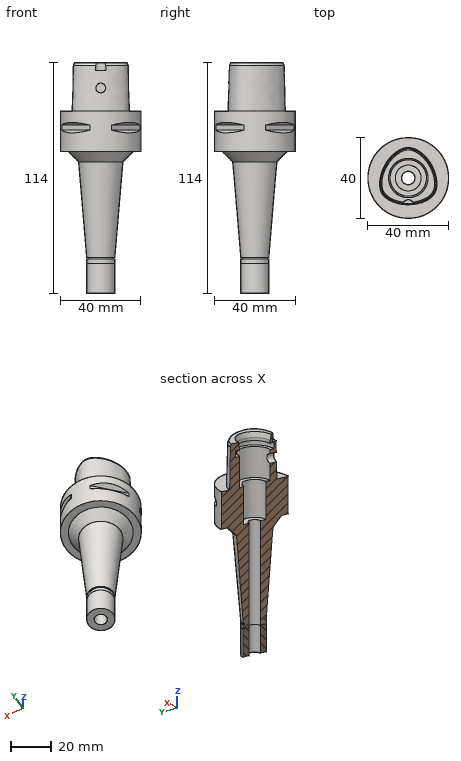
import cadquery as cq
import math

SHANK_HEIGHT = 24.0
FLANGE_RADIUS = 20.0
FLANGE_HEIGHT = 20.0
CONE_TOP_RADIUS = 16.0
CONE_HEIGHT = 5.0
NECK_TOP_RADIUS = CONE_TOP_RADIUS - CONE_HEIGHT
TIP_RADIUS = 7.0
TIP_LENGTH = 14.7
COLLAR_HEIGHT = 2.4
NECK_GROOVE_HEIGHT = 0.6
NECK_GROOVE_RADIUS = 6.3
TOTAL_LENGTH = 114.0

BOTTOM_Z = SHANK_HEIGHT - TOTAL_LENGTH
TIP_TOP_Z = BOTTOM_Z + TIP_LENGTH
COLLAR_TOP_Z = TIP_TOP_Z + COLLAR_HEIGHT
NECK_BOTTOM_Z = COLLAR_TOP_Z + NECK_GROOVE_HEIGHT
CONE_BOTTOM_Z = -FLANGE_HEIGHT - CONE_HEIGHT

SHANK_BASE_DIAMETER = 28.35
TAPER = 1 / 20
ECCENTRICITY = 0.93
OUTLINE_SPANS = 36
TOP_CHAMFER_HEIGHT = 1.4
TOP_CHAMFER_WIDTH = 0.6

MOUTH_RADIUS = 9.75
BORE_RADIUS = 9.0
MOUTH_DEPTH = 2.9
CLAMP_GROOVE_RADIUS = 11.2
CLAMP_GROOVE_TOP_DEPTH = 4.5
CLAMP_GROOVE_BOTTOM_DEPTH = 7.6
CLAMP_GROOVE_TOP_Z = SHANK_HEIGHT - CLAMP_GROOVE_TOP_DEPTH
CLAMP_GROOVE_BOTTOM_Z = SHANK_HEIGHT - CLAMP_GROOVE_BOTTOM_DEPTH
BORE_BOTTOM_Z = 0.0
DRAW_BORE_RADIUS = 6.4
DRAW_BORE_BOTTOM_Z = -FLANGE_HEIGHT
COOLANT_RADIUS = 3.25

NOTCH_RADIUS = 2.6
NOTCH_DEPTH = 3.8
NOTCH_CENTER_Y = -13.3
SIDE_HOLE_RADIUS = 2.4
SIDE_HOLE_DEPTH = 12.5
SIDE_HOLE_Z = SHANK_HEIGHT - SIDE_HOLE_DEPTH

GRIP_COUNT = 4
GRIP_START_ANGLE = 45.0
GRIP_FLOOR_DISTANCE = 17.4
GRIP_FLOOR_HEIGHT = 2.4
GRIP_RIM_HEIGHT = 5.2
GRIP_Z = -8.1


def polygon_wire(diameter, z):
    """Closed three-lobed outline of the given mean diameter at height z."""

    def point(angle):
        along = (
            diameter / 2 * math.cos(angle)
            - 2 * ECCENTRICITY * math.cos(2 * angle)
            + ECCENTRICITY * math.cos(4 * angle)
        )
        across = (
            diameter / 2 * math.sin(angle)
            + 2 * ECCENTRICITY * math.sin(2 * angle)
            + ECCENTRICITY * math.sin(4 * angle)
        )
        return cq.Vector(across, -along, z)

    points = [point(2 * math.pi * index / OUTLINE_SPANS) for index in range(OUTLINE_SPANS)]
    return cq.Wire.assembleEdges([cq.Edge.makeSpline(points, periodic=True)])


def make_shank():
    """Tapered polygon shank with a chamfered top edge."""
    chamfer_z = SHANK_HEIGHT - TOP_CHAMFER_HEIGHT
    chamfer_diameter = SHANK_BASE_DIAMETER - chamfer_z * TAPER
    top_diameter = chamfer_diameter - 2 * TOP_CHAMFER_WIDTH

    base = polygon_wire(SHANK_BASE_DIAMETER, 0)
    chamfer_edge = polygon_wire(chamfer_diameter, chamfer_z)
    top = polygon_wire(top_diameter, SHANK_HEIGHT)
    return cq.Workplane(cq.Solid.makeLoft([base, chamfer_edge, top], True))


def revolve_profile(points):
    """Revolve a closed (radius, z) outline about the Z axis."""
    return cq.Workplane("XZ").polyline(points).close().revolve(360, (0, 0), (0, 1))


def make_turned_body():
    """Flange, cone, tapered neck, neck groove and collar."""
    return revolve_profile([
        (0, 0),
        (FLANGE_RADIUS, 0),
        (FLANGE_RADIUS, -FLANGE_HEIGHT),
        (CONE_TOP_RADIUS, -FLANGE_HEIGHT),
        (NECK_TOP_RADIUS, CONE_BOTTOM_Z),
        (TIP_RADIUS, NECK_BOTTOM_Z),
        (NECK_GROOVE_RADIUS, NECK_BOTTOM_Z),
        (NECK_GROOVE_RADIUS, COLLAR_TOP_Z),
        (TIP_RADIUS, COLLAR_TOP_Z),
        (TIP_RADIUS, TIP_TOP_Z),
        (0, TIP_TOP_Z),
    ])


def make_bore():
    """Stepped axial bore: mouth cone, clamping groove, draw bore and coolant hole."""
    mouth_bottom_z = SHANK_HEIGHT - MOUTH_DEPTH
    return revolve_profile([
        (0, SHANK_HEIGHT),
        (MOUTH_RADIUS, SHANK_HEIGHT),
        (BORE_RADIUS, mouth_bottom_z),
        (BORE_RADIUS, CLAMP_GROOVE_TOP_Z),
        (CLAMP_GROOVE_RADIUS, CLAMP_GROOVE_TOP_Z),
        (CLAMP_GROOVE_RADIUS, CLAMP_GROOVE_BOTTOM_Z),
        (BORE_RADIUS, CLAMP_GROOVE_BOTTOM_Z),
        (BORE_RADIUS, BORE_BOTTOM_Z),
        (DRAW_BORE_RADIUS, BORE_BOTTOM_Z),
        (DRAW_BORE_RADIUS, DRAW_BORE_BOTTOM_Z),
        (COOLANT_RADIUS, DRAW_BORE_BOTTOM_Z),
        (COOLANT_RADIUS, TIP_TOP_Z),
        (0, TIP_TOP_Z),
    ])


def make_notch():
    """Round-backed key notch in the top edge of the flat side."""
    return (
        cq.Workplane("XY", origin=(0, NOTCH_CENTER_Y, SHANK_HEIGHT - NOTCH_DEPTH))
        .circle(NOTCH_RADIUS)
        .extrude(NOTCH_DEPTH)
    )


def make_side_hole():
    """Radial hole from the flat side into the bore."""
    return (
        cq.Workplane("XZ", origin=(0, 0, SIDE_HOLE_Z))
        .circle(SIDE_HOLE_RADIUS)
        .extrude(SHANK_BASE_DIAMETER)
    )


def make_grip_groove(angle):
    """Straight trapezoidal groove across the flange rim at the given angle."""
    floor_half = GRIP_FLOOR_HEIGHT / 2
    rim_half = GRIP_RIM_HEIGHT / 2
    groove = (
        cq.Workplane("XZ")
        .polyline([
            (GRIP_FLOOR_DISTANCE, GRIP_Z - floor_half),
            (FLANGE_RADIUS, GRIP_Z - rim_half),
            (FLANGE_RADIUS, GRIP_Z + rim_half),
            (GRIP_FLOOR_DISTANCE, GRIP_Z + floor_half),
        ])
        .close()
        .extrude(FLANGE_RADIUS, both=True)
    )
    return groove.rotate((0, 0, 0), (0, 0, 1), angle)


def make_adapter():
    """Shank, flange and neck in one piece, down to the joint with the tip."""
    adapter = make_shank().union(make_turned_body())
    adapter = adapter.cut(make_bore()).cut(make_notch()).cut(make_side_hole())
    for index in range(GRIP_COUNT):
        angle = GRIP_START_ANGLE + index * 360 / GRIP_COUNT
        adapter = adapter.cut(make_grip_groove(angle))
    return adapter


def make_tip():
    """Plain cylindrical tip with the coolant hole running through it."""
    return (
        cq.Workplane("XY", origin=(0, 0, BOTTOM_Z))
        .circle(TIP_RADIUS)
        .circle(COOLANT_RADIUS)
        .extrude(TIP_LENGTH)
    )


adapter = make_adapter()
tip = make_tip()
result = cq.Compound.makeCompound([*adapter.solids().vals(), tip.val()])